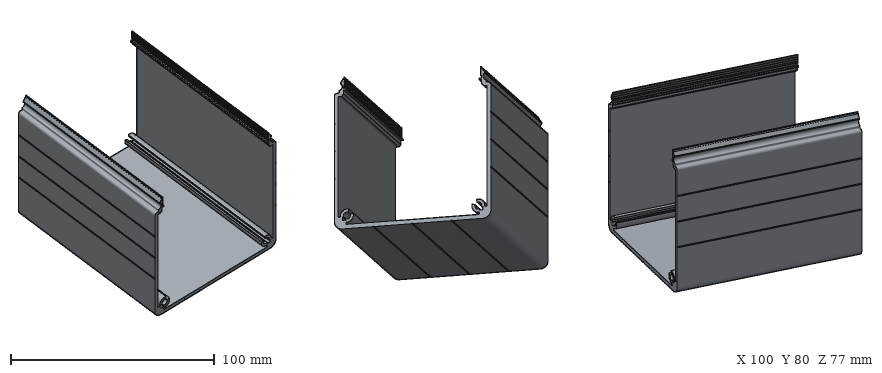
import cadquery as cq
import math

LENGTH = 100.0
WIDTH = 80.0
HEIGHT = 77.03
WALL = 2.0
FLOOR = 2.2
BOTTOM_RADIUS = 4.0

SHOULDER_Z = 69.1
SHOULDER_RADIUS = 1.4
SHOULDER_UNDERSIDE_Z = 67.4
SHOULDER_INNER_RADIUS = 0.5
NECK_OUTER = 2.45
NECK_INNER = 4.8
NECK_CHAMFER = 1.1
NECK_FILLET = 0.25

RELIEF_RADIUS = 1.8
RELIEF_CENTER = (2.2, 72.2)
BULGE_INSET = 3.15
BULGE_FLAT_TOP_Z = 74.25
TIP_OUTER = 4.85
TIP_EDGE_Z = 76.65
CLIP_FACE = 5.2
CLIP_FACE_BOTTOM_Z = 72.5
FIN_TIP = 6.1
FIN_KNEE = 5.65
FIN_TOP_Z = 71.4
FIN_BOTTOM_Z = 70.55
FIN_EDGE = 0.4

GROOVE_WIDTH = 0.6
GROOVE_DEPTH = 0.25
SIDE_GROOVE_TOP_Z = 53.9
SIDE_GROOVE_PITCH = 14.0
SIDE_GROOVE_COUNT = 3
FLOOR_GROOVE_PITCH = 20.0
CLIP_GROOVE_TOP_Z = 75.8
CLIP_GROOVE_PITCH = 1.15
CLIP_GROOVE_WIDTH = 0.2
CLIP_GROOVE_COUNT = 3

PORT_OFFSET = 4.45
PORT_OUTER_RADIUS = 3.3
PORT_INNER_RADIUS = 1.75
PORT_OPENING = math.radians(54.0)
POCKET_FAR = 2.3
POCKET_NEAR = 0.6
POCKET_RADIUS = 0.3


def section():
    """Workplane across the extrusion, with its origin at the -Y bottom corner."""
    return cq.Workplane("YZ", origin=(-LENGTH / 2, -WIDTH / 2, 0))


def half_channel():
    """Floor, side wall, shoulder and snap clip of the -Y half."""
    relief_start_inset = NECK_OUTER + NECK_FILLET
    arc_drop = math.sqrt(RELIEF_RADIUS**2 - (relief_start_inset - RELIEF_CENTER[0]) ** 2)
    arc_rise = math.sqrt(RELIEF_RADIUS**2 - (BULGE_INSET - RELIEF_CENTER[0]) ** 2)
    relief_start = (relief_start_inset, RELIEF_CENTER[1] - arc_drop)
    relief_middle = (RELIEF_CENTER[0] + RELIEF_RADIUS, RELIEF_CENTER[1])
    relief_end = (BULGE_INSET, RELIEF_CENTER[1] + arc_rise)
    return (
        section()
        .moveTo(WIDTH / 2, 0)
        .lineTo(BOTTOM_RADIUS, 0)
        .radiusArc((0, BOTTOM_RADIUS), BOTTOM_RADIUS)
        .lineTo(0, SHOULDER_Z - SHOULDER_RADIUS)
        .radiusArc((SHOULDER_RADIUS, SHOULDER_Z), SHOULDER_RADIUS)
        .lineTo(NECK_OUTER - NECK_FILLET, SHOULDER_Z)
        .radiusArc((NECK_OUTER, SHOULDER_Z + NECK_FILLET), -NECK_FILLET)
        .lineTo(NECK_OUTER, relief_start[1] - NECK_FILLET)
        .radiusArc(relief_start, NECK_FILLET)
        .threePointArc(relief_middle, relief_end)
        .lineTo(BULGE_INSET, BULGE_FLAT_TOP_Z)
        .lineTo(TIP_OUTER, TIP_EDGE_Z)
        .lineTo(TIP_OUTER, HEIGHT)
        .lineTo(CLIP_FACE, HEIGHT)
        .lineTo(CLIP_FACE, CLIP_FACE_BOTTOM_Z)
        .lineTo(NECK_INNER, CLIP_FACE_BOTTOM_Z)
        .lineTo(NECK_INNER, FIN_TOP_Z)
        .lineTo(FIN_KNEE, FIN_TOP_Z)
        .lineTo(FIN_TIP, FIN_BOTTOM_Z + FIN_EDGE)
        .lineTo(FIN_TIP, FIN_BOTTOM_Z)
        .lineTo(NECK_INNER, FIN_BOTTOM_Z)
        .lineTo(NECK_INNER, SHOULDER_UNDERSIDE_Z + NECK_CHAMFER)
        .lineTo(NECK_INNER - NECK_CHAMFER, SHOULDER_UNDERSIDE_Z)
        .lineTo(WALL + SHOULDER_INNER_RADIUS, SHOULDER_UNDERSIDE_Z)
        .radiusArc((WALL, SHOULDER_UNDERSIDE_Z - SHOULDER_INNER_RADIUS), -SHOULDER_INNER_RADIUS)
        .lineTo(WALL, FLOOR)
        .lineTo(WIDTH / 2, FLOOR)
        .close()
        .extrude(LENGTH)
    )


def add_screw_port(body):
    """Open ring on a solid corner web; the gaps between ring and walls end in half-round slots."""
    center = (WALL + PORT_OFFSET, FLOOR + PORT_OFFSET)
    slot_radius = (PORT_OFFSET - PORT_OUTER_RADIUS) / 2
    slot_centers = [(WALL + slot_radius, center[1]), (center[0], FLOOR + slot_radius)]
    slot_ends = section().pushPoints(slot_centers).circle(slot_radius).extrude(LENGTH)
    web = (
        section()
        .moveTo(WALL, FLOOR)
        .rect(PORT_OFFSET, PORT_OFFSET, centered=False)
        .extrude(LENGTH)
        .cut(slot_ends)
    )
    ring = section().moveTo(*center).circle(PORT_OUTER_RADIUS).extrude(LENGTH)
    bore = section().moveTo(*center).circle(PORT_INNER_RADIUS).extrude(LENGTH)

    opening_reach = 2 * PORT_OUTER_RADIUS
    opening_corners = [center]
    for side in (-1, 1):
        angle = math.pi / 4 + side * PORT_OPENING / 2
        corner = (
            center[0] + opening_reach * math.cos(angle),
            center[1] + opening_reach * math.sin(angle),
        )
        opening_corners.append(corner)
    opening = section().polyline(opening_corners).close().extrude(LENGTH)

    pocket_size = POCKET_FAR - POCKET_NEAR
    pocket = (
        section()
        .moveTo(center[0] - POCKET_FAR, center[1] - POCKET_FAR)
        .rect(pocket_size, pocket_size, centered=False)
        .extrude(LENGTH)
        .edges("|X and <Y and <Z")
        .fillet(POCKET_RADIUS)
    )
    return body.union(web).union(ring.cut(opening)).cut(bore).cut(pocket)


def v_groove(inset, height, inward, width=GROOVE_WIDTH):
    """V-groove cutter opening at a face point; inward is the unit direction into the material."""
    half = width / 2
    along = (-inward[1], inward[0])
    corners = [
        (inset + half * along[0], height + half * along[1]),
        (inset + GROOVE_DEPTH * inward[0], height + GROOVE_DEPTH * inward[1]),
        (inset - half * along[0], height - half * along[1]),
    ]
    return section().polyline(corners).close().extrude(LENGTH)


def cut_grooves(body):
    """Grooves in the outer wall face, in the inner clip face and under the floor."""
    for i in range(SIDE_GROOVE_COUNT):
        body = body.cut(v_groove(0, SIDE_GROOVE_TOP_Z - i * SIDE_GROOVE_PITCH, (1, 0)))
    for i in range(CLIP_GROOVE_COUNT):
        height = CLIP_GROOVE_TOP_Z - i * CLIP_GROOVE_PITCH
        body = body.cut(v_groove(CLIP_FACE, height, (-1, 0), CLIP_GROOVE_WIDTH))
    for offset in (0, FLOOR_GROOVE_PITCH):
        body = body.cut(v_groove(WIDTH / 2 - offset, 0, (0, 1)))
    return body


half = cut_grooves(add_screw_port(half_channel()))
result = half.union(half.mirror("XZ"))